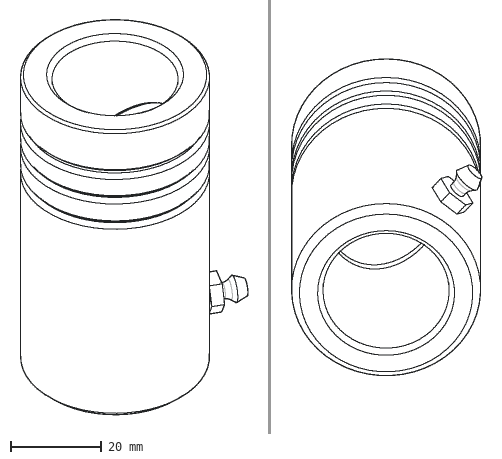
import cadquery as cq
import math

height = 80.0
outer_radius = 21.0
bore_radius = 14.0
bottom_chamfer = 1.8
top_chamfer = 0.6
bore_chamfer = 1.2

ring_groove_depth = 1.0
first_groove_drop = 12.0
groove_pitch = 7.0
groove_widths = [2.7, 2.3, 2.3]

oil_groove_radius = 1.0
oil_groove_mid_height = 53.8
oil_groove_rise = 11.2

nipple_height = 15.1
hex_corner_radius = 4.7
hex_length = 3.0
hex_turn = 3.0
shank_radius = 3.0
shank_length = 4.8
neck_radius = 1.8
neck_length = 1.8
neck_fillet = 2.4
head_radius = 3.1
cone_length = 1.7
tip_radius = 2.1
tip_length = 2.6


def make_sleeve():
    """Plain tube with its edge chamfers, revolved about Z."""
    profile = [
        (bore_radius + bore_chamfer, 0),
        (outer_radius - bottom_chamfer, 0),
        (outer_radius, bottom_chamfer),
        (outer_radius, height - top_chamfer),
        (outer_radius - top_chamfer, height),
        (bore_radius + bore_chamfer, height),
        (bore_radius, height - bore_chamfer),
        (bore_radius, bore_chamfer),
    ]
    return cq.Workplane("XZ").polyline(profile).close().revolve(360, (0, 0), (0, 1))


def make_ring_groove(middle, width):
    """Ring to be cut from the outside, centred on the height `middle`."""
    half_width = width / 2
    half_floor = half_width - ring_groove_depth
    floor_radius = outer_radius - ring_groove_depth
    clear_radius = outer_radius + ring_groove_depth
    profile = [
        (outer_radius, middle - half_width),
        (floor_radius, middle - half_floor),
        (floor_radius, middle + half_floor),
        (outer_radius, middle + half_width),
        (clear_radius, middle + half_width),
        (clear_radius, middle - half_width),
    ]
    return cq.Workplane("XZ").polyline(profile).close().revolve(360, (0, 0), (0, 1))


def make_oil_groove():
    """Round bar swept along the ellipse where a tilted plane meets the bore."""
    tilt = math.atan2(oil_groove_rise, bore_radius)
    half_length = math.hypot(bore_radius, oil_groove_rise)
    uphill = cq.Vector(0, math.cos(tilt), math.sin(tilt))
    plane = cq.Plane(
        origin=(0, 0, oil_groove_mid_height),
        xDir=uphill.toTuple(),
        normal=(0, -math.sin(tilt), math.cos(tilt)),
    )
    path = cq.Workplane(plane).ellipse(half_length, bore_radius)
    section_plane = cq.Plane(
        origin=(plane.origin + uphill * half_length).toTuple(),
        xDir=uphill.toTuple(),
        normal=(1, 0, 0),
    )
    return cq.Workplane(section_plane).circle(oil_groove_radius).sweep(path)


def nipple_plane():
    """Plane touching the sleeve under the nipple, facing +Y."""
    return cq.Plane(origin=(0, outer_radius, nipple_height), xDir=(1, 0, 0), normal=(0, 1, 0))


def make_shank():
    return cq.Workplane(nipple_plane()).circle(shank_radius).extrude(-shank_length)


def make_housing():
    housing = make_sleeve()
    for index, width in enumerate(groove_widths):
        middle = height - first_groove_drop - index * groove_pitch
        housing = housing.cut(make_ring_groove(middle, width))
    return housing.cut(make_oil_groove()).cut(make_shank()).solids()


def make_nipple_head():
    """Neck, head and tip above the hexagon, revolved about the nipple axis."""
    neck_end = hex_length + neck_length
    head_level = neck_end + cone_length
    tip_level = head_level + tip_length
    neck_corner = cq.selectors.NearestToPointSelector((0, neck_end, 0))
    return (
        cq.Workplane("XY")
        .moveTo(0, hex_length)
        .lineTo(neck_radius, hex_length)
        .lineTo(neck_radius, neck_end)
        .lineTo(head_radius, head_level)
        .lineTo(tip_radius, tip_level)
        .lineTo(0, tip_level)
        .close()
        .revolve(360, (0, 0), (0, 1))
        .edges(neck_corner)
        .fillet(neck_fillet)
        .translate((0, outer_radius, nipple_height))
    )


def make_nipple():
    hexagon = (
        cq.Workplane(nipple_plane().rotated((0, 0, hex_turn)))
        .polygon(6, 2 * hex_corner_radius)
        .extrude(hex_length)
    )
    return make_shank().union(hexagon).union(make_nipple_head()).solids()


housing = make_housing()
grease_nipple = make_nipple()
result = cq.Compound.makeCompound([housing.val(), grease_nipple.val()])